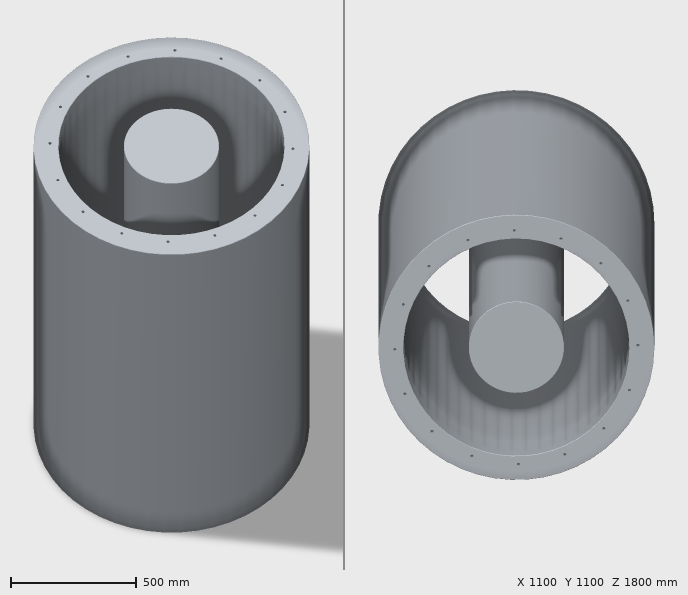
import cadquery as cq

HEIGHT = 1800.0
SHELL_OUTER_DIAMETER = 1100.0
SHELL_INNER_DIAMETER = 900.0
CORE_DIAMETER = 380.0
EDGE_CHAMFER = 2.0

HOLE_COUNT = 16
HOLE_DIAMETER = 12.0
HOLE_CIRCLE_DIAMETER = 968.0
HOLE_PITCH_ANGLE = 360 / HOLE_COUNT


def make_shell():
    """Hollow cylinder with chamfered rims and a ring of axial holes."""
    tube = (
        cq.Workplane("XY")
        .circle(SHELL_OUTER_DIAMETER / 2)
        .circle(SHELL_INNER_DIAMETER / 2)
        .extrude(HEIGHT)
        .edges("%CIRCLE")
        .chamfer(EDGE_CHAMFER)
    )
    holes = (
        cq.Workplane("XY")
        .polarArray(HOLE_CIRCLE_DIAMETER / 2, HOLE_PITCH_ANGLE / 2, 360, HOLE_COUNT)
        .circle(HOLE_DIAMETER / 2)
        .extrude(HEIGHT)
    )
    return tube.cut(holes)


def make_core():
    """Solid cylinder on the shell axis, flush with both shell ends."""
    return (
        cq.Workplane("XY")
        .circle(CORE_DIAMETER / 2)
        .extrude(HEIGHT)
        .edges("%CIRCLE")
        .chamfer(EDGE_CHAMFER)
    )


shell = make_shell()
core = make_core()

result = cq.Compound.makeCompound([shell.val(), core.val()])